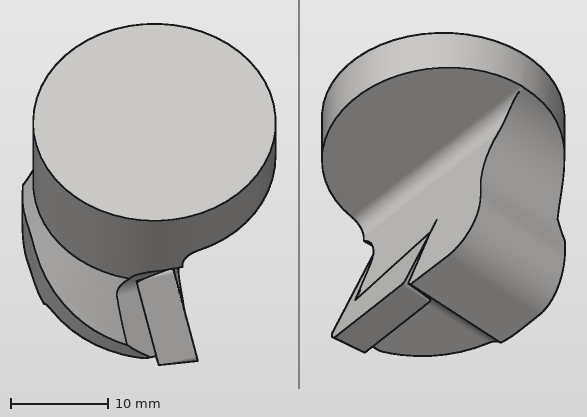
import cadquery as cq
import math


disc_radius = 12.5
disc_bottom_z = -10.58
flare_angle = 27.5
nose_bottom_z = -20.58
left_wall_radius = 13.6
right_wall_radius = 13.23
right_wall_x = 2.95

left_scoop_radius = 7.88
left_scoop_x = -12.6
left_scoop_top_z = -4.82
left_flat_length = 1.4
bottom_corner_radius = 5.2
edge_tilt = 3.0
relief_start_x = 5.6
relief_depth = 0.74
relief_radius = 1.75
notch_radius = 2.88
notch_x = 13.95
notch_z = -11.1
nose_corner_radius = 0.3

chip_floor_z = -5.6
chip_wall_y = -0.74
chip_fillet = 1.75
chip_slope_z = -0.067
chip_slope_y = 0.022
chip_reach = 17.65

insert_angle = 55.0
insert_inscribed_diameter = 9.53
insert_corner_radius = 0.8
insert_thickness = 3.97
insert_clearance = 10.5
insert_tilt = 6.6
insert_tip_x = 16.9
insert_tip_z = -20.0

slant_angle = math.radians(insert_angle + edge_tilt)
slant_x = math.cos(slant_angle)
slant_z = math.sin(slant_angle)
fall = math.tan(math.radians(edge_tilt))


def arc_point(x, z, radius, degrees):
    angle = math.radians(degrees)
    return (x + radius * math.cos(angle), z + radius * math.sin(angle))


def make_disc():
    return cq.Workplane("XY").circle(disc_radius).extrude(disc_bottom_z)


def make_nose():
    """Cone that flares below the disc, trimmed by the upright nose walls."""
    depth = disc_bottom_z - nose_bottom_z
    end_radius = disc_radius + depth * math.tan(math.radians(flare_angle))
    cone = (
        cq.Workplane("XZ")
        .moveTo(0, disc_bottom_z)
        .lineTo(disc_radius, disc_bottom_z)
        .lineTo(end_radius, nose_bottom_z)
        .lineTo(0, nose_bottom_z)
        .close()
        .revolve(360, (0, 0), (0, 1))
    )
    right_wall_y = right_wall_radius - left_wall_radius
    walls = (
        cq.Workplane("XY", origin=(0, 0, nose_bottom_z))
        .moveTo(-left_wall_radius, 0)
        .threePointArc(arc_point(0, 0, left_wall_radius, 225), (0, -left_wall_radius))
        .lineTo(right_wall_x, -left_wall_radius)
        .threePointArc(
            arc_point(right_wall_x, right_wall_y, right_wall_radius, 315),
            (right_wall_x + right_wall_radius, right_wall_y),
        )
        .lineTo(right_wall_x + right_wall_radius, 0)
        .close()
        .extrude(depth)
    )
    return cone.intersect(walls)


def make_outline():
    """Side outline of the whole head, as a block long enough in Y to trim it."""
    scoop_z = left_scoop_top_z - left_scoop_radius
    flat_x = left_scoop_x + left_scoop_radius
    corner_x = flat_x + bottom_corner_radius
    corner_z = scoop_z - left_flat_length
    bottom_start = arc_point(corner_x, corner_z, bottom_corner_radius, 270 - edge_tilt)
    bottom_end_z = bottom_start[1] - fall * (relief_start_x - bottom_start[0])

    relief_turn = math.degrees(math.acos(1 - relief_depth / relief_radius))
    relief_z = bottom_end_z + relief_depth - relief_radius
    relief_x = relief_start_x + relief_radius * math.sin(math.radians(relief_turn))
    relief_end = arc_point(relief_x, relief_z, relief_radius, 90 - edge_tilt)
    relief_mid = arc_point(relief_x, relief_z, relief_radius, 90 + relief_turn / 2)

    slant_degrees = insert_angle + edge_tilt
    notch_end = arc_point(notch_x, notch_z, notch_radius, 270 - slant_degrees)
    notch_mid = arc_point(notch_x, notch_z, notch_radius, 180)
    notch_top_z = notch_z + math.sqrt(notch_radius**2 - (notch_x - disc_radius) ** 2)
    slope = slant_z / slant_x
    nose_x = (notch_end[1] - relief_end[1] + slope * notch_end[0] - fall * relief_end[0]) / (slope - fall)
    nose_z = relief_end[1] - fall * (nose_x - relief_end[0])

    block = (
        cq.Workplane("XZ")
        .moveTo(left_scoop_x, 0)
        .lineTo(left_scoop_x, left_scoop_top_z)
        .threePointArc(
            arc_point(left_scoop_x, scoop_z, left_scoop_radius, 45),
            (flat_x, scoop_z),
        )
        .lineTo(flat_x, corner_z)
        .threePointArc(
            arc_point(corner_x, corner_z, bottom_corner_radius, 225),
            bottom_start,
        )
        .lineTo(relief_start_x, bottom_end_z)
        .threePointArc(relief_mid, relief_end)
        .lineTo(nose_x, nose_z)
        .lineTo(*notch_end)
        .threePointArc(notch_mid, (disc_radius, notch_top_z))
        .lineTo(disc_radius, 0)
        .close()
        .extrude(chip_reach, both=True)
    )
    nose_edge = cq.selectors.NearestToPointSelector((nose_x, 0, nose_z))
    return block.edges("|Y").edges(nose_edge).fillet(nose_corner_radius)


def make_chip_space():
    """Step with a filleted inner corner, run along the slightly skewed X direction."""
    frame = cq.Plane(
        origin=(0, chip_wall_y, chip_floor_z),
        xDir=(-chip_slope_y, 1, 0),
        normal=(1, chip_slope_y, chip_slope_z),
    )
    return (
        cq.Workplane(frame)
        .rect(chip_reach, -chip_reach, centered=False)
        .extrude(chip_reach, both=True)
        .edges(cq.selectors.NearestToPointSelector((0, chip_wall_y, chip_floor_z)))
        .fillet(chip_fillet)
    )


def make_insert():
    """Tapered rhombic plate; its cutting face leans back as it rises."""
    tilt = math.radians(insert_tilt)
    half_angle = math.radians(insert_angle / 2)
    inner_diameter = insert_inscribed_diameter - 2 * insert_corner_radius
    side = inner_diameter / math.sin(2 * half_angle)
    slant_side = (-side * slant_x, side * slant_z)
    bottom_side = (-side * math.cos(math.radians(edge_tilt)), side * math.sin(math.radians(edge_tilt)))
    far_corner = (slant_side[0] + bottom_side[0], slant_side[1] + bottom_side[1])
    frame = cq.Plane(
        origin=(
            insert_tip_x - insert_corner_radius,
            -insert_corner_radius * math.sin(tilt),
            insert_tip_z + insert_corner_radius * math.cos(tilt),
        ),
        xDir=(1, 0, 0),
        normal=(0, -math.cos(tilt), -math.sin(tilt)),
    )
    return (
        cq.Workplane(frame)
        .polyline([(0, 0), slant_side, far_corner, bottom_side])
        .close()
        .offset2D(insert_corner_radius)
        .extrude(insert_thickness, taper=insert_clearance)
    )


insert = make_insert()
head = make_disc().union(make_nose()).intersect(make_outline())
head = head.cut(make_chip_space()).cut(insert)

result = cq.Compound.makeCompound([head.val(), insert.val()])